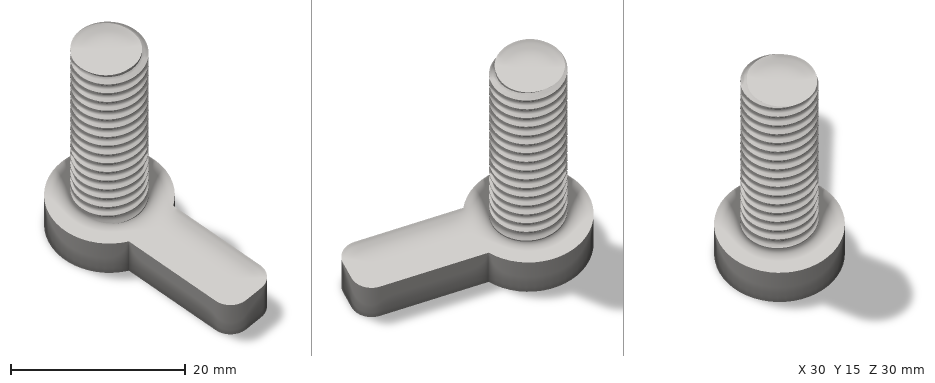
import cadquery as cq

total_height = 30.0
head_diameter = 15.0
head_height = 5.0

arm_reach = 22.5
arm_width = head_diameter / 2
arm_corner_radius = 2.5

major_radius = 4.5
root_radius = 3.75
pitch = 1.5
crest_width = 0.18
ridge_base_width = 1.05
first_crest_rise = 0.05
root_overlap = 0.15

shank_length = total_height - head_height
core_overrun = 1.5 * pitch


def make_lever_head():
    """Round head with a flat lever arm of the same thickness."""
    head = cq.Workplane("XY").circle(head_diameter / 2).extrude(head_height)
    arm = (
        cq.Workplane("XY")
        .rect(arm_reach, arm_width)
        .extrude(head_height)
        .edges("|Z and >X")
        .fillet(arm_corner_radius)
        .translate((arm_reach / 2, 0, 0))
    )
    return head.union(arm)


def make_thread_ridge(start_height, length):
    """Helical ridge whose centre line starts at start_height on the +X side."""
    flank_slope = (ridge_base_width - crest_width) / 2 / (major_radius - root_radius)
    inner_radius = root_radius - root_overlap
    inner_half = ridge_base_width / 2 + flank_slope * root_overlap
    crest_half = crest_width / 2
    profile = cq.Workplane("XZ").polyline(
        [
            (inner_radius, -inner_half),
            (major_radius, -crest_half),
            (major_radius, crest_half),
            (inner_radius, inner_half),
        ]
    ).close()
    helix = cq.Wire.makeHelix(pitch, length, root_radius)
    return profile.sweep(cq.Workplane(obj=helix), isFrenet=True).translate((0, 0, start_height))


def make_threaded_shank():
    """Core with the thread ridge, cut off flat at the head and at the free end."""
    core = (
        cq.Workplane("XY")
        .workplane(offset=head_height - core_overrun)
        .circle(root_radius)
        .extrude(shank_length + 2 * core_overrun)
    )
    ridge = make_thread_ridge(head_height + first_crest_rise - pitch, shank_length + 2 * pitch)
    envelope = (
        cq.Workplane("XY")
        .workplane(offset=head_height)
        .circle(head_diameter / 2)
        .extrude(shank_length)
    )
    return core.union(ridge).intersect(envelope)


result = make_lever_head().union(make_threaded_shank()).solids()